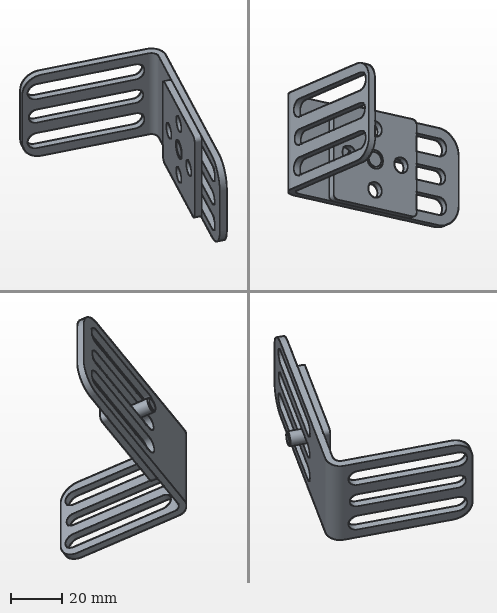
import cadquery as cq

height = 40.0
thickness = 3.0

long_length = 83.0
short_length = 58.0
bend_inner_radius = 3.0
bend_outer_radius = bend_inner_radius + thickness
long_corner_radius = 10.0
short_corner_radius = 8.0

slot_travel = 40.6
slot_pitch = 12.0
outer_slot_width = 7.4
middle_slot_width = 6.4
long_slot_start = 32.7
short_slot_start = 11.5

plate_center_x = 40.5
plate_width = height
plate_corner_radius = 2.0
plate_front_y = -2 * thickness
plate_hole_diameter = 6.4
plate_hole_offset = 12.5

pin_diameter = 6.0
pin_projection = 6.0
pin_chamfer = 0.5
recess_diameter = 7.6
recess_depth = 0.1
pin_front_y = plate_front_y + recess_depth


def slot_cutters(flange_plane, slot_start):
    """Three slots through a flange; local x runs away from the bend."""
    cutters = cq.Workplane(flange_plane)
    slot_middle = slot_start + slot_travel / 2
    for row, width in ((-1, outer_slot_width), (0, middle_slot_width), (1, outer_slot_width)):
        slot = (
            cq.Workplane(flange_plane)
            .center(slot_middle, row * slot_pitch)
            .slot2D(slot_travel + width, width)
            .extrude(thickness)
        )
        cutters = cutters.add(slot)
    return cutters.combine()


def make_bracket():
    """L-shaped sheet with a rounded bend, rounded free ends and slotted flanges."""
    body = (
        cq.Workplane("XY", origin=(0, 0, -height / 2))
        .moveTo(0, -short_length)
        .lineTo(0, -bend_outer_radius)
        .radiusArc((bend_outer_radius, 0), bend_outer_radius)
        .lineTo(long_length, 0)
        .lineTo(long_length, -thickness)
        .lineTo(bend_outer_radius, -thickness)
        .radiusArc((thickness, -bend_outer_radius), -bend_inner_radius)
        .lineTo(thickness, -short_length)
        .close()
        .extrude(height)
    )
    body = body.faces(">X").edges("|Y").fillet(long_corner_radius)
    body = body.faces("<Y").edges("|X").fillet(short_corner_radius)

    long_plane = cq.Plane(origin=(0, 0, 0), xDir=(1, 0, 0), normal=(0, -1, 0))
    short_plane = cq.Plane(origin=(0, 0, 0), xDir=(0, -1, 0), normal=(1, 0, 0))
    body = body.cut(slot_cutters(long_plane, long_slot_start))
    return body.cut(slot_cutters(short_plane, short_slot_start))


def cylinder_along_y(diameter, start_y, end_y):
    """Cylinder on the pin axis between two Y positions."""
    return (
        cq.Workplane("XZ", origin=(plate_center_x, start_y, 0))
        .circle(diameter / 2)
        .extrude(start_y - end_y)
    )


def make_plate():
    """Square plate with four holes around the recessed pin seat."""
    plate = (
        cq.Workplane("XZ", origin=(plate_center_x, -thickness, 0))
        .rect(plate_width, height)
        .extrude(thickness)
        .edges("|Y")
        .fillet(plate_corner_radius)
    )
    holes = (
        cq.Workplane("XZ", origin=(plate_center_x, -thickness, 0))
        .polarArray(plate_hole_offset, 0, 360, 4)
        .circle(plate_hole_diameter / 2)
        .extrude(thickness)
    )
    pin_hole = cylinder_along_y(pin_diameter, plate_front_y, -thickness)
    recess = cylinder_along_y(recess_diameter, plate_front_y, pin_front_y)
    return plate.cut(holes).cut(pin_hole).cut(recess)


def make_pin():
    """Straight pin through the plate and middle slot, chamfered at its free end."""
    pin = cylinder_along_y(pin_diameter, pin_front_y, pin_projection)
    return pin.faces(">Y").chamfer(pin_chamfer)


bracket = make_bracket()
plate = make_plate()
pin = make_pin()

result = cq.Compound.makeCompound([bracket.val(), plate.val(), pin.val()])